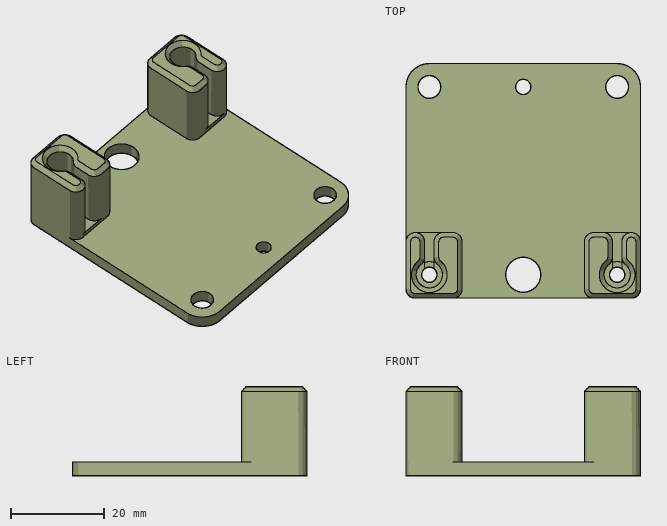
import cadquery as cq
import math

PLATE_SIZE = 50.0
PLATE_THICKNESS = 3.0
BACK_CORNER_RADIUS = 5.0
EDGE_RADIUS = 2.0
HALF_PLATE = PLATE_SIZE / 2

HOLE_INSET = 5.0
HOLE_OFFSET = HALF_PLATE - HOLE_INSET
CORNER_HOLE_DIAMETER = 4.8
SMALL_HOLE_DIAMETER = 3.2
FRONT_HOLE_DIAMETER = 7.4

POST_WIDTH = 12.0
POST_DEPTH = 14.0
POST_HEIGHT = 16.0
POST_CHAMFER = 1.0

BORE_RADIUS = 2.8
SLOT_WIDTH = 2.0
HALF_SLOT = SLOT_WIDTH / 2
BORE_FLOOR_HEIGHT = POST_HEIGHT / 2
SLOT_FLOOR_HEIGHT = 1.0

NECK_RADIUS = EDGE_RADIUS
NECK_CENTRE_X = HALF_SLOT + NECK_RADIUS
NECK_CENTRE_Y = math.sqrt((BORE_RADIUS + NECK_RADIUS) ** 2 - NECK_CENTRE_X ** 2)


def make_plate():
    plate = cq.Workplane("XY").box(PLATE_SIZE, PLATE_SIZE, PLATE_THICKNESS, centered=(True, True, False))
    plate = plate.edges("|Z and >Y").fillet(BACK_CORNER_RADIUS)
    return plate.edges("|Z and <Y").fillet(EDGE_RADIUS)


def make_post_body():
    """Post around the bore axis, with the keyhole cut down to the plate."""
    r = EDGE_RADIUS
    left = -HOLE_INSET
    right = left + POST_WIDTH
    front = -HOLE_INSET
    back = front + POST_DEPTH
    touch_ratio = BORE_RADIUS / (BORE_RADIUS + NECK_RADIUS)
    touch_x = NECK_CENTRE_X * touch_ratio
    touch_y = NECK_CENTRE_Y * touch_ratio

    profile = (
        cq.Workplane("XY")
        .moveTo(left + r, front)
        .lineTo(right - r, front)
        .tangentArcPoint((right, front + r), relative=False)
        .lineTo(right, back - r)
        .tangentArcPoint((right - r, back), relative=False)
        .lineTo(HALF_SLOT + r, back)
        .tangentArcPoint((HALF_SLOT, back - r), relative=False)
        .lineTo(HALF_SLOT, NECK_CENTRE_Y)
        .tangentArcPoint((touch_x, touch_y), relative=False)
        .threePointArc((0, -BORE_RADIUS), (-touch_x, touch_y))
        .tangentArcPoint((-HALF_SLOT, NECK_CENTRE_Y), relative=False)
        .lineTo(-HALF_SLOT, back - r)
        .tangentArcPoint((-HALF_SLOT - r, back), relative=False)
        .tangentArcPoint((left, back - r), relative=False)
        .lineTo(left, front + r)
        .tangentArcPoint((left + r, front), relative=False)
        .close()
    )
    return profile.extrude(POST_HEIGHT).faces(">Z").chamfer(POST_CHAMFER)


def make_slot_floor():
    """Slab under the whole post that closes the bottom of the slot."""
    slab = cq.Workplane("XY").box(POST_WIDTH, POST_DEPTH, SLOT_FLOOR_HEIGHT, centered=False)
    return slab.edges("|Z").fillet(EDGE_RADIUS).translate((-HOLE_INSET, -HOLE_INSET, 0))


def make_bore_floor():
    """Fill below the bore and its neck, up to the bore floor."""
    length = BORE_RADIUS + NECK_CENTRE_Y
    width = 2 * NECK_CENTRE_X
    fill = cq.Workplane("XY").box(width, length, BORE_FLOOR_HEIGHT, centered=(True, False, False))
    return fill.translate((0, -BORE_RADIUS, 0))


def make_lower_slot():
    """Slot below the bore floor, deepened to the plate between the screw hole and the bore radius."""
    slot = cq.Workplane("XY").box(SLOT_WIDTH, NECK_CENTRE_Y, BORE_FLOOR_HEIGHT, centered=(True, False, False))
    recess = cq.Workplane("XY").circle(BORE_RADIUS).extrude(SLOT_FLOOR_HEIGHT).intersect(slot)
    return slot.translate((0, 0, SLOT_FLOOR_HEIGHT)).union(recess)


def make_left_post():
    post = make_post_body().union(make_bore_floor()).union(make_slot_floor()).cut(make_lower_slot())
    return post.translate((-HOLE_OFFSET, -HOLE_OFFSET, PLATE_THICKNESS))


def make_hole(x, y, diameter):
    return cq.Workplane("XY").center(x, y).circle(diameter / 2).extrude(PLATE_THICKNESS + POST_HEIGHT)


left_post = make_left_post()
result = make_plate().union(left_post).union(left_post.mirror("YZ"))

for hole_x in (-HOLE_OFFSET, HOLE_OFFSET):
    result = result.cut(make_hole(hole_x, HOLE_OFFSET, CORNER_HOLE_DIAMETER))
    result = result.cut(make_hole(hole_x, -HOLE_OFFSET, SMALL_HOLE_DIAMETER))

result = result.cut(make_hole(0, HOLE_OFFSET, SMALL_HOLE_DIAMETER))
result = result.cut(make_hole(0, -HOLE_OFFSET, FRONT_HOLE_DIAMETER))